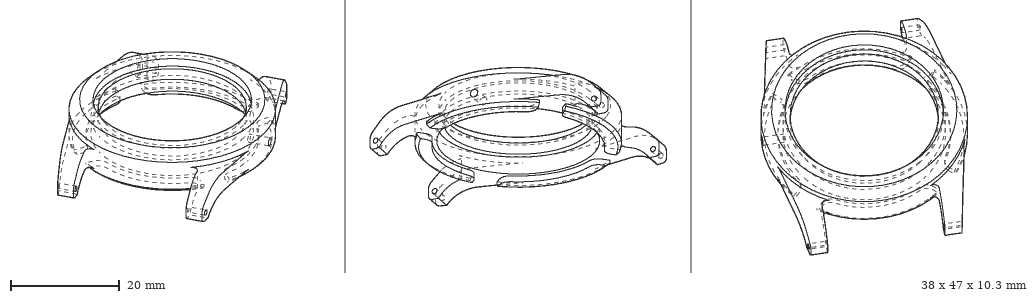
import cadquery as cq
import math

CASE_DIAMETER = 38.0
CASE_RADIUS = CASE_DIAMETER / 2
BEZEL_CHAMFER = 1.97
BASE_CHAMFER = 0.65
CASE_HEIGHT = 8.4

CRYSTAL_RADIUS = 14.55
CRYSTAL_DEPTH = 1.6
OPENING_RADIUS = 13.65
OPENING_END_DEPTH = 3.85
MOVEMENT_RADIUS = 15.0
BACK_RADIUS = 15.9

LUG_TIP_Y = 23.5
LUG_TOP_Z = -3.25
LUG_BOTTOM_Z = -7.25
LUG_TIP_Z = -10.3
LUG_INNER_X = 10.95
LUG_TIP_OUTER_X = 14.1
LUG_TAPER_ANGLE = 11.6
LUG_BEND_RADIUS = 7.0
LUG_BEND_ANGLE = 44.5
LUG_TOP_BEND_Y = 16.5
LUG_BOTTOM_BEND_Y = 15.65
LUG_NOSE_RADIUS = 2.0
LUG_TIP_FILLET = 0.8
LUG_INNER_FILLET = 1.0
LUG_OUTER_FILLET = 5.0

BAR_HOLE_DIAMETER = 1.0
BAR_HOLE_Y = 22.25
BAR_HOLE_Z = -8.7

RELIEF_WIDTH = 5.1
RELIEF_FILLET = 1.97

STEM_HOLE_DIAMETER = 1.5
STEM_HOLE_Z = (LUG_TOP_Z + LUG_BOTTOM_Z) / 2


def disc(radius, top_z, bottom_z):
    """Upright cylinder on the ring axis."""
    return cq.Workplane("XY").workplane(offset=bottom_z).circle(radius).extrude(top_z - bottom_z)


def case_blank():
    """Solid disc of the case with its bezel and base chamfers."""
    blank = disc(CASE_RADIUS, 0, -CASE_HEIGHT)
    return blank.faces(">Z").chamfer(BEZEL_CHAMFER).faces("<Z").chamfer(BASE_CHAMFER)


def blend_points(round_radius, blend_radius, side_angle, side_offset):
    """Ends and middle of the concave arc that joins a straight side to a round about the axis.

    The side faces side_angle degrees and lies side_offset from the axis. The result is the point
    on the round, the middle of the arc and the point on the side.
    """
    angle = math.radians(side_angle)
    facing = cq.Vector(math.cos(angle), math.sin(angle))
    along = cq.Vector(0, 1)
    along = along - facing * along.dot(facing)
    reach = side_offset + blend_radius
    run = math.sqrt((round_radius + blend_radius) ** 2 - reach**2)
    center = facing * reach + along.normalized() * run
    on_round = center.normalized() * round_radius
    on_side = center - facing * blend_radius
    middle = center + (on_round + on_side - center * 2).normalized() * blend_radius
    return [(point.x, point.y) for point in (on_round, middle, on_side)]


def arm_plan(first_blend, second_blend, first_end, second_end):
    """Flat outline of an arm that grows from the axis and is blended into a round on both sides."""
    return (
        cq.Workplane("XY")
        .lineTo(*first_blend[0])
        .threePointArc(*first_blend[1:])
        .lineTo(*first_end)
        .lineTo(*second_end)
        .lineTo(*second_blend[2])
        .threePointArc(second_blend[1], second_blend[0])
        .close()
    )


def on_arc(center, radius, degrees):
    """Point of an arc at an angle measured from its first axis."""
    angle = math.radians(degrees)
    return center[0] + radius * math.cos(angle), center[1] + radius * math.sin(angle)


def lug_profile():
    """Curved side shape of a lug, from the ring axis to the tip, extruded over the +X half."""
    bend_end = 90 - LUG_BEND_ANGLE
    top_center = (LUG_TOP_BEND_Y, LUG_TOP_Z - LUG_BEND_RADIUS)
    top_mid = on_arc(top_center, LUG_BEND_RADIUS, 90 - LUG_BEND_ANGLE / 2)
    top_end = on_arc(top_center, LUG_BEND_RADIUS, bend_end)

    nose_y = LUG_TIP_Y - LUG_NOSE_RADIUS
    nose_start_y = nose_y + LUG_NOSE_RADIUS * math.cos(math.radians(bend_end))
    slope_drop = (nose_start_y - top_end[0]) * math.tan(math.radians(LUG_BEND_ANGLE))
    nose_start = (nose_start_y, top_end[1] - slope_drop)
    nose_z = nose_start[1] - LUG_NOSE_RADIUS * math.sin(math.radians(bend_end))
    nose_center = (nose_y, nose_z)

    tip_center = (LUG_TIP_Y - LUG_TIP_FILLET, LUG_TIP_Z + LUG_TIP_FILLET)

    under_center = (LUG_BOTTOM_BEND_Y, LUG_BOTTOM_Z - LUG_BEND_RADIUS)
    under_end = math.degrees(math.asin((LUG_TIP_Z - under_center[1]) / LUG_BEND_RADIUS))

    outline = (
        cq.Workplane("YZ")
        .moveTo(0, LUG_TOP_Z)
        .lineTo(LUG_TOP_BEND_Y, LUG_TOP_Z)
        .threePointArc(top_mid, top_end)
        .lineTo(*nose_start)
        .threePointArc(on_arc(nose_center, LUG_NOSE_RADIUS, bend_end / 2), (LUG_TIP_Y, nose_z))
        .lineTo(LUG_TIP_Y, tip_center[1])
        .threePointArc(on_arc(tip_center, LUG_TIP_FILLET, -45), (tip_center[0], LUG_TIP_Z))
        .lineTo(*on_arc(under_center, LUG_BEND_RADIUS, under_end))
        .threePointArc(
            on_arc(under_center, LUG_BEND_RADIUS, (90 + under_end) / 2),
            (LUG_BOTTOM_BEND_Y, LUG_BOTTOM_Z),
        )
        .lineTo(0, LUG_BOTTOM_Z)
        .close()
    )
    return outline.extrude(CASE_RADIUS)


def lug():
    """The lug at +X, +Y, with its blends into the case wall and its spring bar hole."""
    taper = math.radians(LUG_TAPER_ANGLE)
    outer_offset = LUG_TIP_OUTER_X * math.cos(taper) + LUG_TIP_Y * math.sin(taper)
    plan = arm_plan(
        blend_points(CASE_RADIUS, LUG_INNER_FILLET, 180, -LUG_INNER_X),
        blend_points(CASE_RADIUS, LUG_OUTER_FILLET, LUG_TAPER_ANGLE, outer_offset),
        (LUG_INNER_X, LUG_TIP_Y),
        (LUG_TIP_OUTER_X, LUG_TIP_Y),
    )
    block = plan.extrude(LUG_TIP_Z)
    bar_hole = (
        cq.Workplane("YZ")
        .center(BAR_HOLE_Y, BAR_HOLE_Z)
        .circle(BAR_HOLE_DIAMETER / 2)
        .extrude(CASE_RADIUS)
    )
    return block.intersect(lug_profile()).cut(bar_hole)


def base_relief():
    """Cut under the lug at +X, +Y, flared where it opens into the back bore."""
    half = RELIEF_WIDTH / 2
    plan = arm_plan(
        blend_points(BACK_RADIUS, RELIEF_FILLET, 180, half),
        blend_points(BACK_RADIUS, RELIEF_FILLET, 0, half),
        (-half, LUG_TIP_Y),
        (half, LUG_TIP_Y),
    )
    cutter = plan.extrude(LUG_BOTTOM_Z - CASE_HEIGHT).translate((0, 0, LUG_BOTTOM_Z))
    return cutter.rotate((0, 0, 0), (0, 0, 1), -45)


def at_four_corners(shape):
    """The shape and its mirror images across the XZ and YZ planes."""
    half = shape.union(shape.mirror("YZ"))
    return half.union(half.mirror("XZ"))


def bores():
    """Crystal seat, opening, movement bore and back bore along the ring axis."""
    opening = disc(OPENING_RADIUS, 0, -CASE_HEIGHT)
    crystal = disc(CRYSTAL_RADIUS, 0, -CRYSTAL_DEPTH)
    movement = disc(MOVEMENT_RADIUS, -OPENING_END_DEPTH, -CASE_HEIGHT)
    back = disc(BACK_RADIUS, LUG_BOTTOM_Z, -CASE_HEIGHT)
    return opening.union(crystal).union(movement).union(back)


def stem_hole():
    """Radial hole for the crown stem, through the +X wall only."""
    start = cq.Workplane("YZ").center(0, STEM_HOLE_Z).circle(STEM_HOLE_DIAMETER / 2)
    return start.extrude(CASE_RADIUS)


case = case_blank().cut(at_four_corners(base_relief())).union(at_four_corners(lug()))
result = case.cut(bores()).cut(stem_hole())